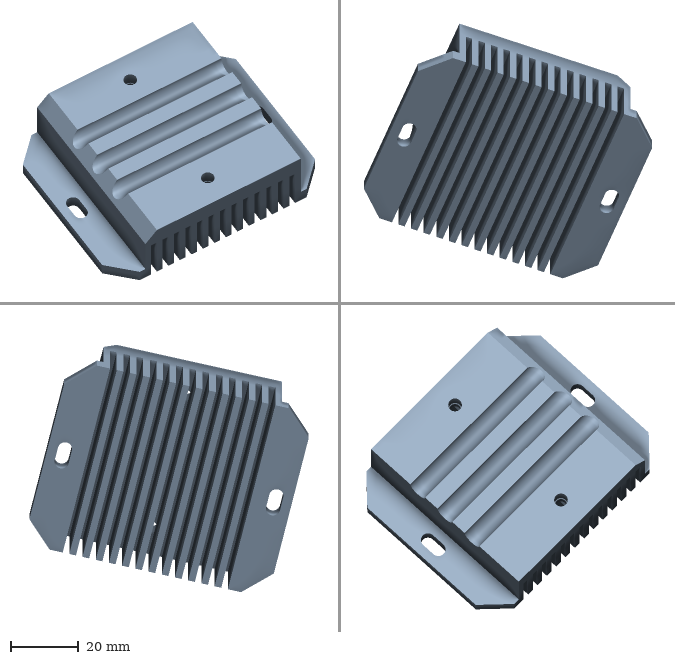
import cadquery as cq
import math

width = 60.0
body_length = 54.0
height = 20.0
front_bevel = 4.0

flange_reach = 10.0
flange_thickness = 4.0
corner_cut = 8.0
total_length = body_length + 2 * flange_reach

slot_length = 8.4
slot_width = 4.2
slot_center_y = body_length / 2 + flange_reach / 2

fin_thickness = 2.0
fin_gap = 2.0
fin_height = 14.0
fin_pitch = fin_thickness + fin_gap
gap_count = int((body_length - fin_thickness) / fin_pitch)

groove_radius = 3.0
groove_pitch = 11.0
groove_count = 3

hole_spacing = 43.0
thread_diameter = 4.0
thread_depth = 4.0
core_diameter = 3.3
core_depth = height - fin_height
drill_point_angle = 118.0
drill_point_length = core_diameter / 2 / math.tan(math.radians(drill_point_angle / 2))


def make_body():
    half = body_length / 2
    profile = [
        (-half, 0),
        (half, 0),
        (half, height),
        (-half + front_bevel, height),
        (-half, height - front_bevel),
    ]
    return cq.Workplane("YZ").polyline(profile).close().extrude(width / 2, both=True)


def make_flange_plate():
    plate = cq.Workplane("XY").rect(width, total_length).extrude(flange_thickness)
    return plate.edges("|Z").chamfer(corner_cut)


def make_mounting_slots():
    centers = [(0, -slot_center_y), (0, slot_center_y)]
    return cq.Workplane("XY").pushPoints(centers).slot2D(slot_length, slot_width).extrude(flange_thickness)


def make_fin_gaps():
    return (
        cq.Workplane("XY")
        .rarray(1, fin_pitch, 1, gap_count)
        .rect(width, fin_gap)
        .extrude(fin_height)
    )


def make_grooves():
    return (
        cq.Workplane("XZ", origin=(0, body_length / 2, height))
        .rarray(groove_pitch, 1, groove_count, 1)
        .circle(groove_radius)
        .extrude(body_length)
    )


def make_screw_holes():
    core_radius = core_diameter / 2
    thread_radius = thread_diameter / 2
    half_profile = [
        (0, 0),
        (thread_radius, 0),
        (thread_radius, -thread_depth),
        (core_radius, -thread_depth),
        (core_radius, -core_depth),
        (0, -core_depth - drill_point_length),
    ]
    hole = cq.Workplane("XZ").polyline(half_profile).close().revolve(360, (0, 0, 0), (0, 1, 0))
    left_hole = hole.translate((-hole_spacing / 2, 0, height))
    right_hole = hole.translate((hole_spacing / 2, 0, height))
    return left_hole.union(right_hole)


result = make_body().union(make_flange_plate())
for cutter in (make_mounting_slots(), make_fin_gaps(), make_grooves(), make_screw_holes()):
    result = result.cut(cutter)